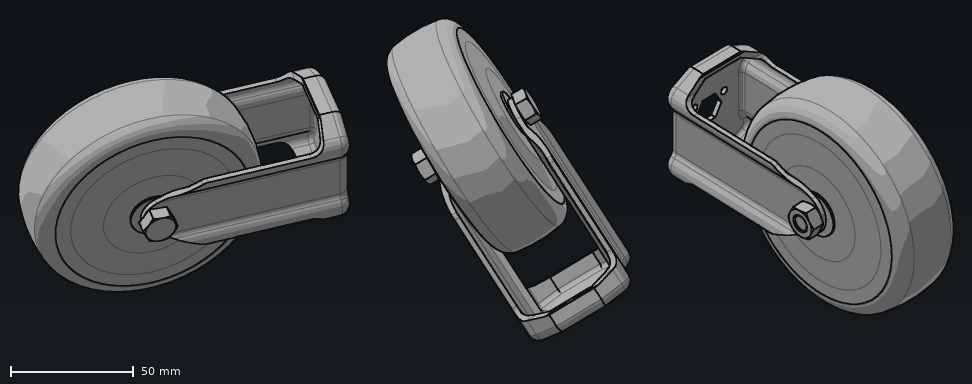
import cadquery as cq
import math


sheet = 2.5
plate_y = 83.0
plate_half_height = 27.9
plate_top_half_width = 10.8
plate_edge_radius = 4.5
arm_half_span = 21.0
web_half_height = 9.8
bulge_tip_x = 24.0
bulge_z = 17.0
bulge_radius = 6.6
arm_half_height = 18.0
flange_y = 73.1
flange_lip = 1.0
sweep_y = 65.2
sweep_radius = 6.6
taper_y = 19.9
taper_corner_radius = 6.1
arm_end_radius = 10.1
arm_end_y = 4.1
hex_corner_radius = 7.0
pin_hole_diameter = 3.5
pin_hole_x = 8.5
pin_hole_z = 4.9

wheel_radius = 49.8
tread_half_width = 10.5
shoulder_drop = 0.9
tyre_half_width = 16.1
shoulder_end_radius = 42.0
rim_radius = 41.6
cone_outer_radius = 35.2
cone_inner_radius = 21.7
hub_half_width = 17.5
boss_radius = 10.1
boss_half_width = arm_half_span - sheet

bolt_radius = 4.0
bolt_chamfer = 0.7
bolt_recess = 0.4
hex_across_flats = 13.0
hex_turn = 6.0
head_height = 5.8
nut_height = 6.4
hex_corner_chamfer = 0.5


def tangent_point(start, centre, radius, side):
    """Where a line from start touches a circle; side is +1 or -1."""
    dx = start[0] - centre[0]
    dy = start[1] - centre[1]
    angle = math.atan2(dy, dx) + side * math.acos(radius / math.hypot(dx, dy))
    return centre[0] + radius * math.cos(angle), centre[1] + radius * math.sin(angle)


def channel_outline():
    """Closed outer section of the fork, symmetric about both axes."""
    bulge_x = bulge_tip_x - bulge_radius
    corner = (plate_top_half_width, plate_half_height)
    bulge_start = tangent_point(corner, (bulge_x, bulge_z), bulge_radius, -1)

    step = arm_half_span - bulge_x
    rise = bulge_z - web_half_height
    bend_radius = (step**2 + rise**2 - bulge_radius**2) / (2 * (bulge_radius - step))
    bend_angle = math.asin(rise / (bulge_radius + bend_radius))
    bend_x = arm_half_span + bend_radius

    def on_bend(angle):
        return bend_x - bend_radius * math.cos(angle), web_half_height + bend_radius * math.sin(angle)

    return (
        cq.Workplane("XZ", origin=(0, plate_y, 0))
        .moveTo(0, plate_half_height)
        .lineTo(*corner)
        .lineTo(*bulge_start)
        .threePointArc((bulge_tip_x, bulge_z), on_bend(bend_angle))
        .threePointArc(on_bend(bend_angle / 2), on_bend(0))
        .lineTo(arm_half_span, 0)
        .mirrorX()
        .mirrorY()
    )


def fork_side_blank():
    """Side silhouette of the fork, extruded across its whole width."""
    taper_start = (taper_y, arm_half_height)
    taper_end = tangent_point(taper_start, (arm_end_y, 0), arm_end_radius, 1)
    sweep_centre = (sweep_y, arm_half_height + sweep_radius)
    lip_end = (flange_y, plate_half_height - flange_lip)
    sweep_end = tangent_point(lip_end, sweep_centre, sweep_radius, -1)
    half_angle = math.asin((sweep_end[0] - sweep_y) / sweep_radius) / 2
    sweep_mid = (
        sweep_y + sweep_radius * math.sin(half_angle),
        sweep_centre[1] - sweep_radius * math.cos(half_angle),
    )

    def lower(point):
        return point[0], -point[1]

    blank = (
        cq.Workplane("YZ")
        .moveTo(plate_y, -plate_half_height)
        .lineTo(plate_y, plate_half_height)
        .lineTo(flange_y, plate_half_height)
        .lineTo(*lip_end)
        .lineTo(*sweep_end)
        .threePointArc(sweep_mid, (sweep_y, arm_half_height))
        .lineTo(*taper_start)
        .lineTo(*taper_end)
        .threePointArc((arm_end_y - arm_end_radius, 0), lower(taper_end))
        .lineTo(*lower(taper_start))
        .lineTo(sweep_y, -arm_half_height)
        .threePointArc(lower(sweep_mid), lower(sweep_end))
        .lineTo(*lower(lip_end))
        .lineTo(flange_y, -plate_half_height)
        .close()
        .extrude(bulge_tip_x, both=True)
    )
    for z in (arm_half_height, -arm_half_height):
        corner = cq.selectors.NearestToPointSelector((0, taper_y, z))
        blank = blank.edges("|X").edges(corner).fillet(taper_corner_radius)
    return blank


def make_fork():
    length = plate_y - arm_end_y + arm_end_radius
    outside = channel_outline().extrude(length).faces(">Y").edges().fillet(plate_edge_radius)
    inside = (
        channel_outline()
        .offset2D(-sheet)
        .extrude(length)
        .translate((0, -sheet, 0))
        .faces(">Y")
        .edges()
        .fillet(plate_edge_radius - sheet)
    )
    fork = outside.cut(inside).intersect(fork_side_blank())

    axle_holes = cq.Workplane("YZ").circle(bolt_radius).extrude(bulge_tip_x, both=True)
    plate_face = cq.Workplane("XZ", origin=(0, plate_y, 0))
    window = plate_face.polygon(6, 2 * hex_corner_radius).extrude(sheet)
    pin_holes = (
        plate_face.pushPoints([(-pin_hole_x, pin_hole_z), (pin_hole_x, pin_hole_z)])
        .circle(pin_hole_diameter / 2)
        .extrude(sheet)
    )
    return fork.cut(axle_holes).cut(window).cut(pin_holes)


def spin(profile):
    """Revolve an X-Z profile about the wheel axis."""
    return profile.close().revolve(360, (0, 0, 0), (1, 0, 0))


def make_tyre():
    tread_edge = wheel_radius - shoulder_drop
    width = tyre_half_width - tread_half_width
    height = tread_edge - shoulder_end_radius
    shoulder_radius = (width**2 + height**2) / (2 * width)
    half_sweep = math.asin(height / shoulder_radius) / 2
    shoulder_mid = (
        tyre_half_width - shoulder_radius * (1 - math.cos(half_sweep)),
        shoulder_end_radius + shoulder_radius * math.sin(half_sweep),
    )
    profile = (
        cq.Workplane("XZ")
        .moveTo(-tyre_half_width, rim_radius)
        .lineTo(-tyre_half_width, shoulder_end_radius)
        .threePointArc((-shoulder_mid[0], shoulder_mid[1]), (-tread_half_width, tread_edge))
        .threePointArc((0, wheel_radius), (tread_half_width, tread_edge))
        .threePointArc(shoulder_mid, (tyre_half_width, shoulder_end_radius))
        .lineTo(tyre_half_width, rim_radius)
    )
    return spin(profile)


def make_rim():
    side = [
        (boss_half_width, bolt_radius),
        (boss_half_width, boss_radius),
        (hub_half_width, boss_radius),
        (hub_half_width, cone_inner_radius),
        (tyre_half_width, cone_outer_radius),
        (tyre_half_width, rim_radius),
    ]
    opposite_side = [(-x, radius) for x, radius in reversed(side)]
    return spin(cq.Workplane("XZ").polyline(side + opposite_side))


def hex_prism(height, chamfered_faces):
    """Hexagon standing on X = 0 with its corners bevelled at the selected end faces."""
    corner_radius = hex_across_flats / math.sqrt(3)
    prism = (
        cq.Workplane("YZ")
        .polygon(6, 2 * corner_radius)
        .extrude(height)
        .rotate((0, 0, 0), (1, 0, 0), -hex_turn)
    )
    envelope = (
        cq.Workplane("YZ")
        .circle(corner_radius)
        .extrude(height)
        .faces(chamfered_faces)
        .chamfer(hex_corner_chamfer, corner_radius - hex_across_flats / 2)
    )
    return prism.intersect(envelope)


def make_bolt():
    end_x = -arm_half_span - nut_height + bolt_recess
    shank = (
        cq.Workplane("YZ", origin=(end_x, 0, 0))
        .circle(bolt_radius)
        .extrude(arm_half_span - end_x)
        .faces("<X")
        .chamfer(bolt_chamfer)
    )
    return shank.union(hex_prism(head_height, ">X").translate((arm_half_span, 0, 0)))


def make_nut():
    bore = cq.Workplane("YZ").circle(bolt_radius).extrude(nut_height)
    return hex_prism(nut_height, "|X").cut(bore).mirror("YZ").translate((-arm_half_span, 0, 0))


fork = make_fork()
tyre = make_tyre()
rim = make_rim()
bolt = make_bolt()
nut = make_nut()

result = cq.Compound.makeCompound([fork.val(), tyre.val(), rim.val(), bolt.val(), nut.val()])